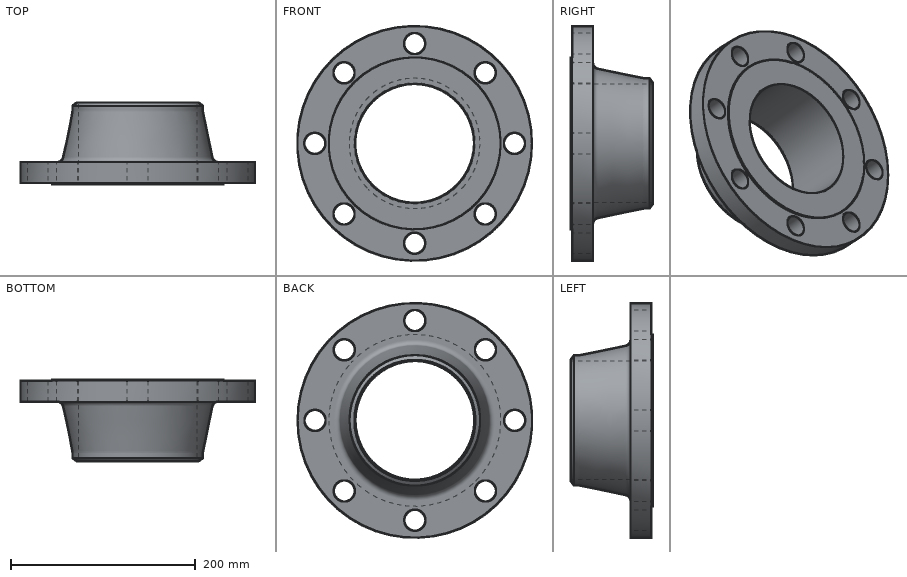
import cadquery as cq

flange_diameter = 254.0
flange_thickness = 22.9
total_length = 89.0

face_diameter = 186.0
face_height = 1.5

bore_diameter = 128.3

hub_base_diameter = 163.8
neck_diameter = 141.2
neck_length = 9.7
bevel_length = 3.8
bevel_depth = 5.0
fillet_radius = 6.0

bolt_count = 8
bolt_circle_diameter = 216.0
bolt_hole_diameter = 22.5

face_y = -total_length / 2
flange_front_y = face_y + face_height
flange_back_y = flange_front_y + flange_thickness
pipe_end_y = total_length / 2
neck_start_y = pipe_end_y - neck_length
bevel_start_y = pipe_end_y - bevel_length


def make_body():
    """Revolve the half section (radius, axial position) about the Y axis."""
    bore_radius = bore_diameter / 2
    face_radius = face_diameter / 2
    flange_radius = flange_diameter / 2
    hub_base_radius = hub_base_diameter / 2
    neck_radius = neck_diameter / 2
    section = (
        cq.Workplane("XY")
        .moveTo(bore_radius, face_y)
        .lineTo(face_radius, face_y)
        .lineTo(face_radius, flange_front_y)
        .lineTo(flange_radius, flange_front_y)
        .lineTo(flange_radius, flange_back_y)
        .lineTo(hub_base_radius, flange_back_y)
        .lineTo(neck_radius, neck_start_y)
        .lineTo(neck_radius, bevel_start_y)
        .lineTo(neck_radius - bevel_depth, pipe_end_y)
        .lineTo(bore_radius, pipe_end_y)
        .close()
    )
    return section.revolve(360, (0, 0, 0), (0, 1, 0))


def blend_hub(body):
    """Round the edges where the tapered hub meets the flange and the neck."""
    tapered_hub = body.faces("%CONE").faces("<Y")
    return tapered_hub.edges("%CIRCLE").fillet(fillet_radius)


def make_bolt_holes():
    """Cylinders on the bolt circle, one of them on the +X axis."""
    return (
        cq.Workplane("XZ", origin=(0, flange_back_y, 0))
        .polarArray(bolt_circle_diameter / 2, 0, 360, bolt_count)
        .circle(bolt_hole_diameter / 2)
        .extrude(flange_thickness)
    )


result = blend_hub(make_body()).cut(make_bolt_holes())